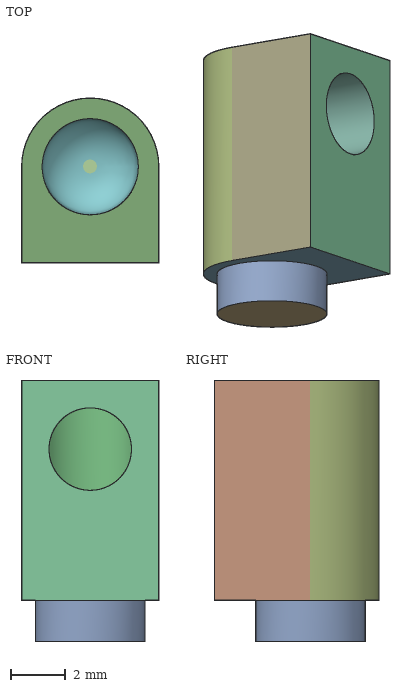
import cadquery as cq

body_width = 5.0
body_height = 8.0
back_radius = body_width / 2
front_distance = 3.5

spigot_diameter = 4.0
spigot_length = 1.5

bore_diameter = 3.5
bore_depth = 6.0
bore_floor_fillet = 1.5

side_hole_diameter = 3.0
side_hole_drop = 2.5


def make_body():
    return (
        cq.Workplane("XY")
        .moveTo(-back_radius, -front_distance)
        .lineTo(back_radius, -front_distance)
        .lineTo(back_radius, 0)
        .threePointArc((0, back_radius), (-back_radius, 0))
        .close()
        .extrude(body_height)
    )


def make_spigot():
    return cq.Workplane("XY").circle(spigot_diameter / 2).extrude(-spigot_length)


def make_bore():
    return (
        cq.Workplane("XY")
        .workplane(offset=body_height - bore_depth)
        .circle(bore_diameter / 2)
        .extrude(bore_depth)
        .faces("<Z")
        .edges()
        .fillet(bore_floor_fillet)
    )


def make_side_hole():
    """Cylinder from the front face to the bore axis."""
    return (
        cq.Workplane("XZ", origin=(0, 0, body_height - side_hole_drop))
        .circle(side_hole_diameter / 2)
        .extrude(front_distance)
    )


result = make_body().union(make_spigot()).cut(make_bore()).cut(make_side_hole())